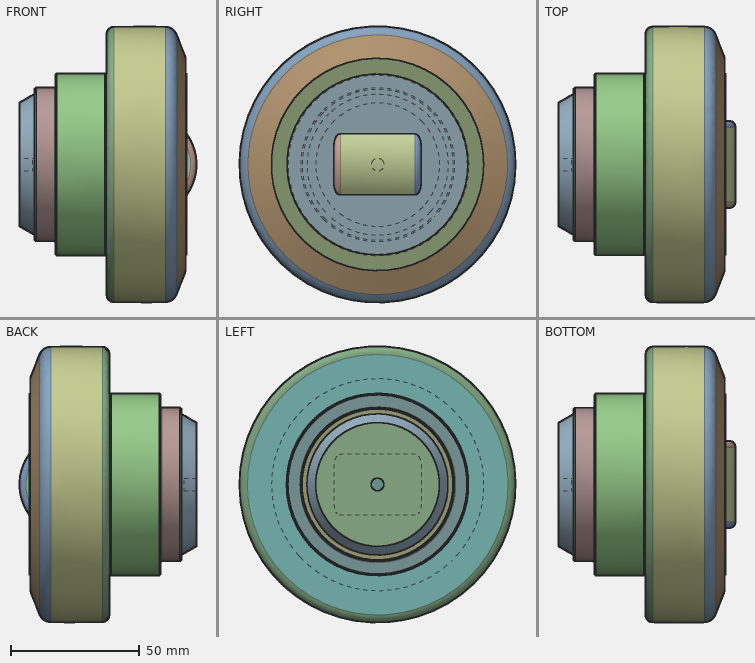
import cadquery as cq
import math


tip_angle = 30.0
tip_length = 5.9
tip_base_diameter = 55.0
centre_hole_diameter = 4.92
centre_hole_depth = 5.0

journal_diameter = 60.0
journal_chamfer = 0.6
journal_root_fillet = 0.4

collar_start = 14.0
collar_diameter = 71.0
collar_chamfer = 0.6
neck_diameter = 70.5
neck_length = 0.7

ring_start = 33.9
ring_width = 31.0
ring_diameter = 107.7
crown_radius = 500.0
front_fillet = 3.0
rear_fillet = 5.0
rear_slope_angle = 69.0
rear_face_radius = 41.35
edge_search_margin = 1.0

cover_diameter = 70.5
cover_thickness = 0.3

overall_length = 69.1
roller_radius = 20.0
roller_width = 34.0
roller_edge_fillet = 2.5

ring_end = ring_start + ring_width
neck_start = ring_start - neck_length


def make_stud():
    """Tip cone, journal, collar and neck, revolved as one profile."""
    tip_base_radius = tip_base_diameter / 2
    tip_end_radius = tip_base_radius - tip_length * math.tan(math.radians(tip_angle))
    journal_radius = journal_diameter / 2
    collar_radius = collar_diameter / 2
    neck_radius = neck_diameter / 2
    fillet_start = collar_start - journal_root_fillet
    fillet_mid = journal_root_fillet * math.sqrt(0.5)

    profile = (
        cq.Workplane("XY")
        .lineTo(0, tip_end_radius)
        .lineTo(tip_length, tip_base_radius)
        .lineTo(tip_length, journal_radius - journal_chamfer)
        .lineTo(tip_length + journal_chamfer, journal_radius)
        .lineTo(fillet_start, journal_radius)
        .threePointArc(
            (fillet_start + fillet_mid, journal_radius + journal_root_fillet - fillet_mid),
            (collar_start, journal_radius + journal_root_fillet),
        )
        .lineTo(collar_start, collar_radius - collar_chamfer)
        .lineTo(collar_start + collar_chamfer, collar_radius)
        .lineTo(neck_start, collar_radius)
        .lineTo(neck_start, neck_radius)
        .lineTo(ring_start, neck_radius)
        .lineTo(ring_start, 0)
        .close()
    )
    return profile.revolve(360, (0, 0, 0), (1, 0, 0))


def edges_near(x):
    """Selector for the edges of the ring whose centres lie close to the plane at x."""
    return cq.selectors.BoxSelector(
        (x - edge_search_margin, -ring_diameter, -ring_diameter),
        (x + edge_search_margin, ring_diameter, ring_diameter),
    )


def make_ring():
    """Running ring with a crowned rim, rounded front edge and sloped rear edge."""
    rim_radius = ring_diameter / 2
    slope_length = (rim_radius - rear_face_radius) / math.tan(math.radians(rear_slope_angle))
    slope_start = ring_end - slope_length
    crown_middle = (ring_start + slope_start) / 2
    crown_half_width = slope_start - crown_middle
    crown_drop = crown_radius - math.sqrt(crown_radius**2 - crown_half_width**2)
    rim_edge_radius = rim_radius - crown_drop

    ring = (
        cq.Workplane("XY")
        .moveTo(ring_start, 0)
        .lineTo(ring_start, rim_edge_radius)
        .threePointArc((crown_middle, rim_radius), (slope_start, rim_edge_radius))
        .lineTo(ring_end, rear_face_radius)
        .lineTo(ring_end, 0)
        .close()
        .revolve(360, (0, 0, 0), (1, 0, 0))
    )
    ring = ring.edges(edges_near(ring_start)).fillet(front_fillet)
    return ring.edges(edges_near(slope_start)).fillet(rear_fillet)


def make_cover():
    """Thin disc on the rear face of the ring."""
    return cq.Workplane("YZ", origin=(ring_end, 0, 0)).circle(cover_diameter / 2).extrude(cover_thickness)


def make_axial_roller():
    """Part of a round-edged roller that stands out behind the ring."""
    roller_axis_x = overall_length - roller_radius
    roller = (
        cq.Workplane("XZ", origin=(roller_axis_x, 0, 0))
        .circle(roller_radius)
        .extrude(roller_width / 2, both=True)
        .faces("<Y or >Y")
        .edges()
        .fillet(roller_edge_fillet)
    )
    exposed_zone = (
        cq.Workplane("YZ", origin=(ring_end, 0, 0))
        .rect(roller_width, 2 * roller_radius)
        .extrude(overall_length - ring_end)
    )
    return roller.intersect(exposed_zone)


def make_centre_hole():
    """Blind hole in the middle of the stud end face."""
    return cq.Workplane("YZ").circle(centre_hole_diameter / 2).extrude(centre_hole_depth)


result = (
    make_stud()
    .union(make_ring())
    .union(make_cover())
    .union(make_axial_roller())
    .cut(make_centre_hole())
)